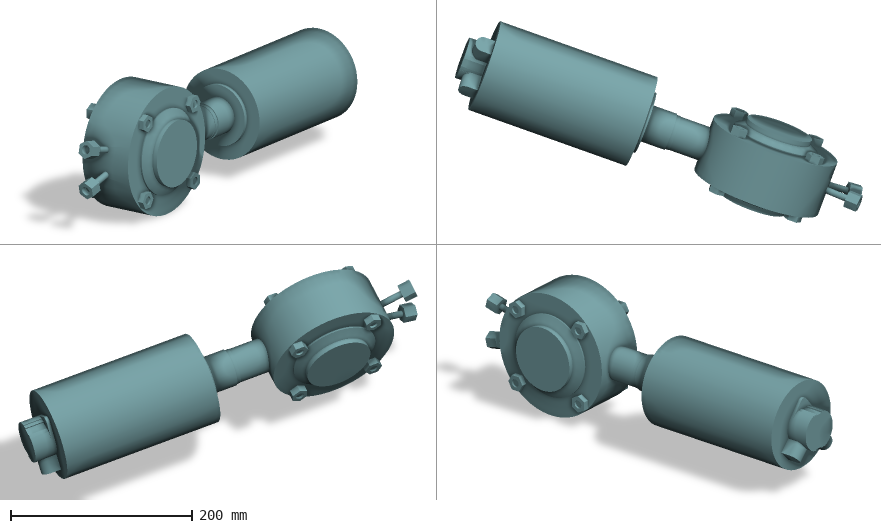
import cadquery as cq
import math

body_diameter = 145.5
body_width = 62.0
hub_radius = 49.0
hub_step = 2.0
hub_cone_length = 6.0
hub_face_radius = 38.0
hub_face_offset = 45.0

screw_offset = 44.5
screw_across_flats = 17.5
left_hexagon_height = 8.0
right_hexagon_height = 6.5
washer_face_radius = 8.0
hexagon_turn = 30
washer_face_height = 0.5
socket_radius = 4.5
socket_depth = 2.5

lower_neck_radius = 39.0 / 2
neck_ring_radius = 40.0 / 2
neck_ring_start = 107.2
upper_neck_radius = 21.0
upper_neck_start = 112.0
collar_radius = 35.0
collar_start = 141.5
actuator_radius = 52.0
actuator_start = 146.0
actuator_end = 330.5

plug_radius = 47.5 / 2
plug_end = 356.5
plug_length = plug_end - actuator_end
keyway_width = 18.5
keyway_radius = 45.5 / 2
key_slot_width = 9.5
key_slot_floor = 20.5

top_lug_reach = 33.5
top_lug_tip_radius = 6.0
top_lug_thickness = 3.7
side_lug_angle = 45
side_lug_reach = 40.0
side_lug_width = 18.5
side_lug_height = 20.0
side_lug_rounding = 9.0

tube_angle = 14
tube_radius = 3.7
tube_pivot = 13.5
fitting_across_flats = 18.0
fitting_length = 14.5
fitting_bore_radius = 5.0
fitting_bore_depth = 7.0
overall_length = 468.5
front_end = plug_end - overall_length


def corner_diameter(across_flats):
    """Diameter over the corners of a regular hexagon."""
    return across_flats / math.cos(math.pi / 6)


fitting_tilt_reach = corner_diameter(fitting_across_flats) / 2 * math.sin(math.radians(tube_angle))
fitting_end = (-front_end - tube_pivot - fitting_tilt_reach) / math.cos(math.radians(tube_angle))


def rod(radius, start, end):
    """Cylinder on the Y axis between two Y positions."""
    return cq.Workplane("XZ", origin=(0, start, 0)).circle(radius).extrude(start - end)


def rear_plane():
    """Rear face of the actuator, facing +Y, with local x along X."""
    return cq.Plane(origin=(0, actuator_end, 0), xDir=(1, 0, 0), normal=(0, 1, 0))


def valve_body():
    """Disc with a coned hub on both faces, revolved about X."""
    cone_start = body_width / 2 + hub_step
    cone_end = cone_start + hub_cone_length
    half_profile = [
        (body_width / 2, body_diameter / 2),
        (body_width / 2, hub_radius),
        (cone_start, hub_radius),
        (cone_end, hub_face_radius),
        (hub_face_offset, hub_face_radius),
        (hub_face_offset, 0),
    ]
    mirrored = [(-x, r) for x, r in reversed(half_profile)]
    profile = cq.Workplane("XY").polyline(half_profile + mirrored).close()
    return profile.revolve(360, (0, 0, 0), (1, 0, 0))


def screw_end(side, y, z, turn, hexagon_height):
    """Hexagon standing off one face of the disc on a round washer face."""
    face = cq.Plane(origin=(side * body_width / 2, y, z), xDir=(0, 1, 0), normal=(side, 0, 0))
    face = face.rotated((0, 0, turn))
    top = washer_face_height + hexagon_height
    hexagon = (
        cq.Workplane(face).workplane(offset=washer_face_height)
        .polygon(6, corner_diameter(screw_across_flats)).extrude(hexagon_height)
    )
    washer_face = cq.Workplane(face).circle(washer_face_radius).extrude(washer_face_height)
    socket = cq.Workplane(face).workplane(offset=top).circle(socket_radius).extrude(-socket_depth)
    return hexagon.union(washer_face).cut(socket)


def screws():
    """Four screws on a square pattern; hexagons on one diagonal are turned against the other."""
    ends = cq.Workplane("XY")
    for y_sign in (-1, 1):
        for z_sign in (-1, 1):
            turn = 0 if y_sign == z_sign else hexagon_turn
            y = y_sign * screw_offset
            z = z_sign * screw_offset
            ends = ends.add(screw_end(-1, y, z, turn, left_hexagon_height))
            ends = ends.add(screw_end(1, y, z, turn, right_hexagon_height))
    return ends.combine()


def plug():
    """Round plug whose keyways step down to a narrower flat-bottomed slot."""
    full = rod(plug_radius, actuator_end, plug_end)
    keyways = cq.Workplane(rear_plane()).rect(keyway_width, 2 * plug_radius).extrude(plug_length)
    keyways = keyways.cut(rod(keyway_radius, actuator_end, plug_end))
    slots = cq.Workplane(rear_plane()).rect(key_slot_width, 2 * plug_radius).extrude(plug_length)
    core = cq.Workplane(rear_plane()).rect(key_slot_width, 2 * key_slot_floor).extrude(plug_length)
    slots = slots.cut(core)
    return full.cut(keyways).cut(slots)


def top_lug():
    """Flat lug whose sides run tangent from the plug to a rounded tip."""
    tip_centre = top_lug_reach - top_lug_tip_radius
    tangent_angle = math.acos((plug_radius - top_lug_tip_radius) / tip_centre)
    across = math.sin(tangent_angle)
    along = math.cos(tangent_angle)
    tip_x = top_lug_tip_radius * across
    tip_z = tip_centre + top_lug_tip_radius * along
    root_x = plug_radius * across
    root_z = plug_radius * along
    return (
        cq.Workplane("XZ", origin=(0, actuator_end, 0))
        .moveTo(-root_x, root_z).lineTo(-tip_x, tip_z)
        .threePointArc((0, top_lug_reach), (tip_x, tip_z))
        .lineTo(root_x, root_z).close()
        .extrude(-top_lug_thickness)
    )


def side_lug(side):
    """Square lug pointing down and outward, its rear end rounded over from both flanks."""
    block = (
        cq.Workplane(rear_plane())
        .center(side_lug_reach / 2, 0).rect(side_lug_reach, side_lug_width).extrude(side_lug_height)
    )
    block = block.edges("|X and >Y").fillet(side_lug_rounding)
    turn = side_lug_angle if side > 0 else 180 - side_lug_angle
    return block.rotate((0, 0, 0), (0, 1, 0), turn)


def drain(side):
    """Tilted tube with a bored hexagonal fitting on its end."""
    sine = math.sin(math.radians(tube_angle))
    cosine = math.cos(math.radians(tube_angle))
    pivot = cq.Plane(
        origin=(0, -tube_pivot, 0), xDir=(0, side * sine, cosine), normal=(0, -cosine, side * sine)
    )
    tube = cq.Workplane(pivot).circle(tube_radius).extrude(fitting_end - fitting_length)
    end_face = cq.Workplane(pivot).workplane(offset=fitting_end)
    fitting = end_face.polygon(6, corner_diameter(fitting_across_flats)).extrude(-fitting_length)
    bore = end_face.circle(fitting_bore_radius).extrude(-fitting_bore_depth)
    return tube.union(fitting.cut(bore))


result = valve_body().union(screws())

result = result.union(rod(lower_neck_radius, 0, neck_ring_start))
result = result.union(rod(neck_ring_radius, neck_ring_start, upper_neck_start))
result = result.union(rod(upper_neck_radius, upper_neck_start, collar_start))
result = result.union(rod(collar_radius, collar_start, actuator_start))
result = result.union(rod(actuator_radius, actuator_start, actuator_end))

result = result.union(plug()).union(top_lug())

for side in (-1, 1):
    result = result.union(side_lug(side)).union(drain(side))